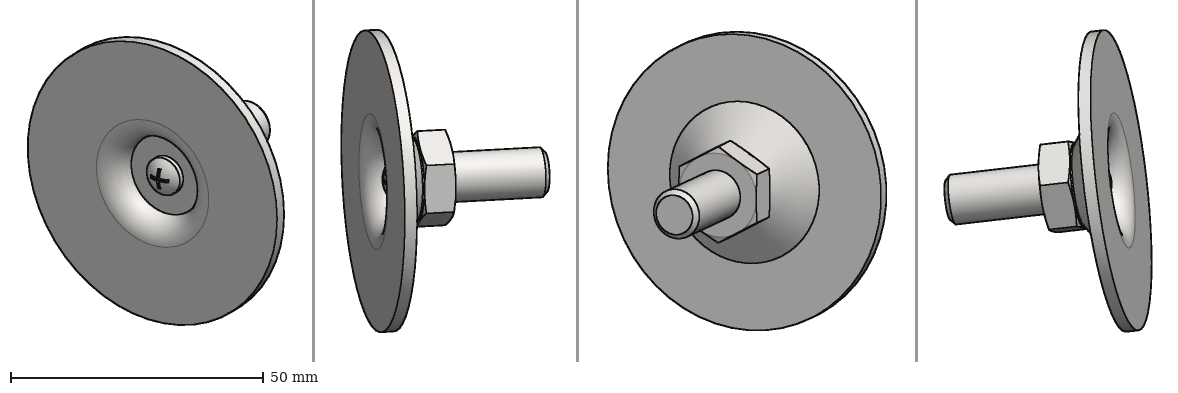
import cadquery as cq
import math

overall_length = 35.0

plate_diameter = 60.0
plate_thickness = 2.5
cone_base_radius = 16.4
cone_top_radius = 8.2
cone_top_y = 8.3

recess_floor_diameter = 17.0
recess_depth = 5.0

nut_across_flats = 17.0
nut_bottom_y = 8.65
nut_top_y = 15.0
nut_chamfer_angle = 15.0

stud_diameter = 10.0
stud_chamfer = 1.0

head_diameter = 8.0
head_rim_height = 1.15
head_height = 3.0
cross_length = 4.2
cross_width = 0.6
cross_depth = 0.7


def revolve_about_y(profile):
    """Turn a closed half profile, drawn in XY, a full turn about the Y axis."""
    return profile.close().revolve(360, (0, 0, 0), (0, 1, 0))


def make_base():
    """Plate, cone and the short neck below the nut, with the recess cut by its profile."""
    plate_radius = plate_diameter / 2
    floor_radius = recess_floor_diameter / 2
    mouth_radius = floor_radius + recess_depth
    arc_reach = recess_depth * math.sqrt(0.5)
    arc_middle = (mouth_radius - arc_reach, recess_depth - arc_reach)
    profile = (
        cq.Workplane("XY")
        .moveTo(0, recess_depth)
        .lineTo(floor_radius, recess_depth)
        .threePointArc(arc_middle, (mouth_radius, 0))
        .lineTo(plate_radius, 0)
        .lineTo(plate_radius, plate_thickness)
        .lineTo(cone_base_radius, plate_thickness)
        .lineTo(cone_top_radius, cone_top_y)
        .lineTo(cone_top_radius, nut_bottom_y)
        .lineTo(0, nut_bottom_y)
    )
    return revolve_about_y(profile)


def make_nut():
    """Hexagon with flats facing +X and -X, corners turned off at both ends."""
    flat_radius = nut_across_flats / 2
    corner_radius = flat_radius / math.cos(math.radians(30))
    corner_drop = (corner_radius - flat_radius) * math.tan(math.radians(nut_chamfer_angle))
    hexagon = (
        cq.Workplane("XZ", origin=(0, nut_bottom_y, 0))
        .transformed(rotate=(0, 0, 90))
        .polygon(6, 2 * corner_radius)
        .extrude(nut_bottom_y - nut_top_y)
    )
    chamfer_envelope = revolve_about_y(
        cq.Workplane("XY")
        .moveTo(0, nut_bottom_y)
        .lineTo(flat_radius, nut_bottom_y)
        .lineTo(corner_radius, nut_bottom_y + corner_drop)
        .lineTo(corner_radius, nut_top_y - corner_drop)
        .lineTo(flat_radius, nut_top_y)
        .lineTo(0, nut_top_y)
    )
    return hexagon.intersect(chamfer_envelope)


def make_stud():
    """Rod from the nut's top face to the chamfered free end."""
    stud_length = overall_length - nut_top_y
    rod = cq.Workplane("XZ", origin=(0, nut_top_y, 0)).circle(stud_diameter / 2).extrude(-stud_length)
    return rod.faces(">Y").chamfer(stud_chamfer)


def make_screw_head():
    """Domed head with a cross recess, facing -Y."""
    head_radius = head_diameter / 2
    rim_y = recess_depth - head_rim_height
    apex_y = recess_depth - head_height
    dome_height = rim_y - apex_y
    dome_radius = (head_radius**2 + dome_height**2) / (2 * dome_height)
    half_angle = math.asin(head_radius / dome_radius) / 2
    dome_middle = (
        dome_radius * math.sin(half_angle),
        apex_y + dome_radius * (1 - math.cos(half_angle)),
    )
    head = revolve_about_y(
        cq.Workplane("XY")
        .moveTo(0, recess_depth)
        .lineTo(head_radius, recess_depth)
        .lineTo(head_radius, rim_y)
        .threePointArc(dome_middle, (0, apex_y))
    )
    cross_floor = cq.Workplane("XZ", origin=(0, apex_y + cross_depth, 0))
    for slot_x, slot_z in ((cross_length, cross_width), (cross_width, cross_length)):
        head = head.cut(cross_floor.rect(slot_x, slot_z).extrude(head_height))
    return head


result = make_base().union(make_nut()).union(make_stud()).union(make_screw_head())